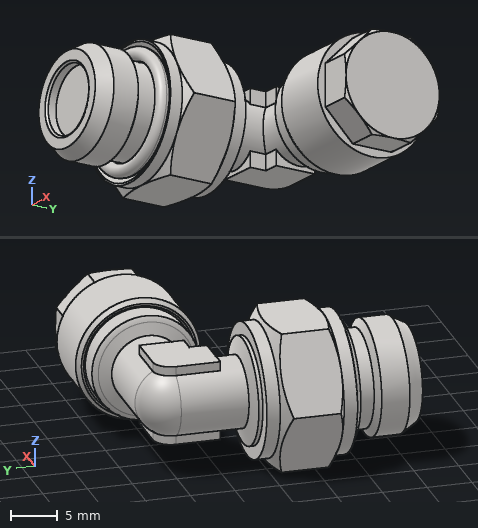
import math

import cadquery as cq


PIPE_RADIUS = 4.0
STEM_LENGTH = 7.6
ARM_LENGTH = 8.6

PAD_WIDTH = 5.0
PAD_LENGTH = 7.0
PAD_OVERHANG = PIPE_RADIUS / 2
PAD_HEIGHT = 9.0

SHOULDER_RADIUS = 6.0
SHOULDER_CONE_HEIGHT = 0.5
SHOULDER_HEIGHT = 0.95
UPPER_FLANGE_RADIUS = 7.5
UPPER_FLANGE_HEIGHT = 1.5
HEX_ACROSS_FLATS = 16.0
HEX_HEIGHT = 7.0
LOWER_FLANGE_RADIUS = HEX_ACROSS_FLATS / 2
LOWER_FLANGE_HEIGHT = 1.5
SEAL_RING_RADIUS = 6.4
SEAL_SECTION_RADIUS = 0.8
SEAL_GROOVE_MOUTH_RADIUS = 7.75
SEAL_GROOVE_FLOOR_RADIUS = 7.1
SEAL_GROOVE_DEPTH = 0.45
NECK_RADIUS = 5.5
NECK_HEIGHT = 2.6
THREAD_RADIUS = 6.5
THREAD_RUNOUT_HEIGHT = 0.55
THREAD_TIP_HEIGHT = 1.74
STEM_END = 26.59

BORE_RADIUS = 4.0
BORE_CHAMFER = 0.25
BORE_DEPTH = 1.25

COLLAR_RADIUS = 6.0
COLLAR_EDGE_RADIUS = 5.4
COLLAR_EDGE_X = 9.05
COLLAR_RIM_X = 9.35
SLEEVE_START = 11.6
SLEEVE_RADIUS = 7.0
SLEEVE_CHAMFER = 0.5
SLEEVE_MOUTH_CHAMFER = 0.25
SLEEVE_END = 19.1
OCTAGON_ACROSS_FLATS = 12.0
ARM_END = 23.1

CHAMFER_ANGLE = math.radians(30)
HEX_SIDES = 6
OCTAGON_SIDES = 8


def corner_radius(across_flats, sides):
    """Radius through the corners of a regular polygon."""
    return across_flats / 2 / math.cos(math.pi / sides)


def stem_turned(points):
    """Solid turned about the Y axis from (radius, y) points."""
    return cq.Workplane("XY").polyline(points).close().revolve(360, (0, 0), (0, 1))


def arm_turned(points):
    """Solid turned about the X axis from (x, radius) points."""
    return cq.Workplane("XY").polyline(points).close().revolve(360, (0, 0), (1, 0))


def elbow():
    stem = cq.Workplane("XZ").circle(PIPE_RADIUS).extrude(STEM_LENGTH)
    arm = cq.Workplane("YZ").circle(PIPE_RADIUS).extrude(ARM_LENGTH)
    return stem.union(arm).union(cq.Workplane("XY").sphere(PIPE_RADIUS))


def pads():
    outer = -PAD_OVERHANG
    inner = outer + PAD_WIDTH
    end = outer + PAD_LENGTH
    return (
        cq.Workplane("XY")
        .moveTo(outer, -end)
        .lineTo(inner, -end)
        .lineTo(inner, -inner)
        .lineTo(end, -inner)
        .lineTo(end, -outer)
        .lineTo(0, -outer)
        .radiusArc((outer, 0), -PAD_OVERHANG)
        .close()
        .extrude(PAD_HEIGHT / 2, both=True)
    )


UPPER_FLANGE_Y = -STEM_LENGTH - SHOULDER_HEIGHT
HEX_TOP_Y = UPPER_FLANGE_Y - UPPER_FLANGE_HEIGHT
HEX_BOTTOM_Y = HEX_TOP_Y - HEX_HEIGHT
SEAL_Y = HEX_BOTTOM_Y - LOWER_FLANGE_HEIGHT
NECK_END_Y = SEAL_Y - NECK_HEIGHT


def stem_body():
    """Shoulder, flanges, neck and threaded end, with a flared groove for the O-ring."""
    thread_y = NECK_END_Y - THREAD_RUNOUT_HEIGHT
    groove_y = SEAL_Y + SEAL_GROOVE_DEPTH
    return stem_turned([
        (0, -STEM_LENGTH),
        (PIPE_RADIUS, -STEM_LENGTH),
        (SHOULDER_RADIUS, -STEM_LENGTH - SHOULDER_CONE_HEIGHT),
        (SHOULDER_RADIUS, UPPER_FLANGE_Y),
        (UPPER_FLANGE_RADIUS, UPPER_FLANGE_Y),
        (UPPER_FLANGE_RADIUS, HEX_TOP_Y),
        (UPPER_FLANGE_RADIUS, HEX_BOTTOM_Y),
        (LOWER_FLANGE_RADIUS, HEX_BOTTOM_Y),
        (LOWER_FLANGE_RADIUS, SEAL_Y),
        (SEAL_GROOVE_MOUTH_RADIUS, SEAL_Y),
        (SEAL_GROOVE_FLOOR_RADIUS, groove_y),
        (NECK_RADIUS, groove_y),
        (NECK_RADIUS, NECK_END_Y),
        (THREAD_RADIUS, thread_y),
        (THREAD_RADIUS, -STEM_END + THREAD_TIP_HEIGHT),
        (NECK_RADIUS, -STEM_END),
        (0, -STEM_END),
    ])


def seal_ring():
    return (
        cq.Workplane("XY")
        .center(SEAL_RING_RADIUS, SEAL_Y)
        .circle(SEAL_SECTION_RADIUS)
        .revolve(360, (-SEAL_RING_RADIUS, 0), (-SEAL_RING_RADIUS, 1))
    )


def hexagon():
    """Hexagon with flats facing +Z and -Z and both rims chamfered."""
    corner = corner_radius(HEX_ACROSS_FLATS, HEX_SIDES)
    slope = math.tan(CHAMFER_ANGLE)
    top_drop = (corner - UPPER_FLANGE_RADIUS) * slope
    bottom_rise = (corner - LOWER_FLANGE_RADIUS) * slope
    prism = (
        cq.Workplane("XZ", origin=(0, HEX_TOP_Y, 0))
        .polygon(HEX_SIDES, 2 * corner)
        .extrude(HEX_HEIGHT)
    )
    envelope = stem_turned([
        (0, HEX_TOP_Y),
        (UPPER_FLANGE_RADIUS, HEX_TOP_Y),
        (corner, HEX_TOP_Y - top_drop),
        (corner, HEX_BOTTOM_Y + bottom_rise),
        (LOWER_FLANGE_RADIUS, HEX_BOTTOM_Y),
        (0, HEX_BOTTOM_Y),
    ])
    return prism.intersect(envelope)


def bore():
    mouth_radius = BORE_RADIUS + BORE_CHAMFER
    return stem_turned([
        (0, -STEM_END),
        (mouth_radius, -STEM_END),
        (BORE_RADIUS, -STEM_END + BORE_CHAMFER),
        (BORE_RADIUS, -STEM_END + BORE_DEPTH),
        (0, -STEM_END + BORE_DEPTH),
    ])


def collar():
    """Collar with a shallow cone rising from the pipe and a rounded edge."""
    collar_end = SLEEVE_START + SLEEVE_MOUTH_CHAMFER
    return (
        cq.Workplane("XY")
        .moveTo(ARM_LENGTH, 0)
        .lineTo(ARM_LENGTH, PIPE_RADIUS)
        .lineTo(COLLAR_EDGE_X, COLLAR_EDGE_RADIUS)
        .tangentArcPoint((COLLAR_RIM_X, COLLAR_RADIUS), relative=False)
        .lineTo(collar_end, COLLAR_RADIUS)
        .lineTo(collar_end, 0)
        .close()
        .revolve(360, (0, 0), (1, 0))
    )


def sleeve():
    """Union sleeve with a countersunk mouth around the collar."""
    return arm_turned([
        (SLEEVE_START + SLEEVE_MOUTH_CHAMFER, 0),
        (SLEEVE_START + SLEEVE_MOUTH_CHAMFER, COLLAR_RADIUS),
        (SLEEVE_START, COLLAR_RADIUS + SLEEVE_MOUTH_CHAMFER),
        (SLEEVE_START, SLEEVE_RADIUS - SLEEVE_CHAMFER),
        (SLEEVE_START + SLEEVE_CHAMFER, SLEEVE_RADIUS),
        (SLEEVE_END, SLEEVE_RADIUS),
        (SLEEVE_END, 0),
    ])


def release_ring():
    """Octagon with its outer corners chamfered at the arm end."""
    corner = corner_radius(OCTAGON_ACROSS_FLATS, OCTAGON_SIDES)
    face_radius = OCTAGON_ACROSS_FLATS / 2
    corner_drop = (corner - face_radius) * math.tan(CHAMFER_ANGLE)
    prism = (
        cq.Workplane("YZ", origin=(SLEEVE_END, 0, 0))
        .polygon(OCTAGON_SIDES, 2 * corner)
        .extrude(ARM_END - SLEEVE_END)
        .rotate((0, 0, 0), (1, 0, 0), 180 / OCTAGON_SIDES)
    )
    envelope = arm_turned([
        (SLEEVE_END, 0),
        (SLEEVE_END, corner),
        (ARM_END - corner_drop, corner),
        (ARM_END, face_radius),
        (ARM_END, 0),
    ])
    return prism.intersect(envelope)


result = elbow()
stem_features = (stem_body(), hexagon(), seal_ring())
arm_features = (collar(), sleeve(), release_ring())
for feature in (pads(), *stem_features, *arm_features):
    result = result.union(feature)
result = result.cut(bore())